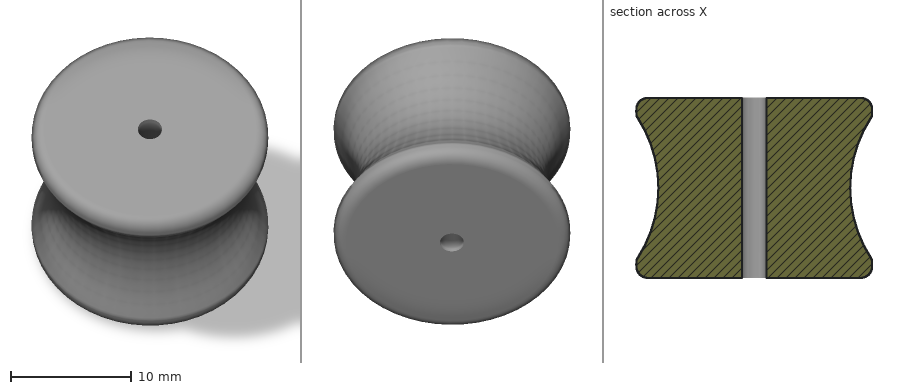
import cadquery as cq

flange_diameter = 19.67
waist_diameter = 16.0
height = 15.0
rim_thickness = 1.5
bore_diameter = 2.0
end_fillet = 1.0
groove_fillet = 0.5

flange_radius = flange_diameter / 2
waist_radius = waist_diameter / 2
half_height = height / 2
groove_half_height = half_height - rim_thickness
pick_margin = 0.05


def spool_blank():
    """Solid of revolution about Z with a concave arc groove between two rims."""
    return (
        cq.Workplane("XZ")
        .moveTo(0, -half_height)
        .lineTo(flange_radius, -half_height)
        .lineTo(flange_radius, -groove_half_height)
        .threePointArc((waist_radius, 0), (flange_radius, groove_half_height))
        .lineTo(flange_radius, half_height)
        .lineTo(0, half_height)
        .close()
        .revolve(360, (0, 0, 0), (0, 1, 0))
    )


def round_rims(body):
    """Round the end-face edges and the groove edges of both rims."""
    body = body.faces("<Z or >Z").edges().fillet(end_fillet)
    for edge_height in (-groove_half_height, groove_half_height):
        center_zone = cq.selectors.BoxSelector(
            (-pick_margin, -pick_margin, edge_height - pick_margin),
            (pick_margin, pick_margin, edge_height + pick_margin),
        )
        body = body.edges(center_zone).fillet(groove_fillet)
    return body


def drill_bore(body):
    """Cut the axial through hole."""
    bore = cq.Workplane("XY").circle(bore_diameter / 2).extrude(half_height, both=True)
    return body.cut(bore)


result = drill_bore(round_rims(spool_blank()))